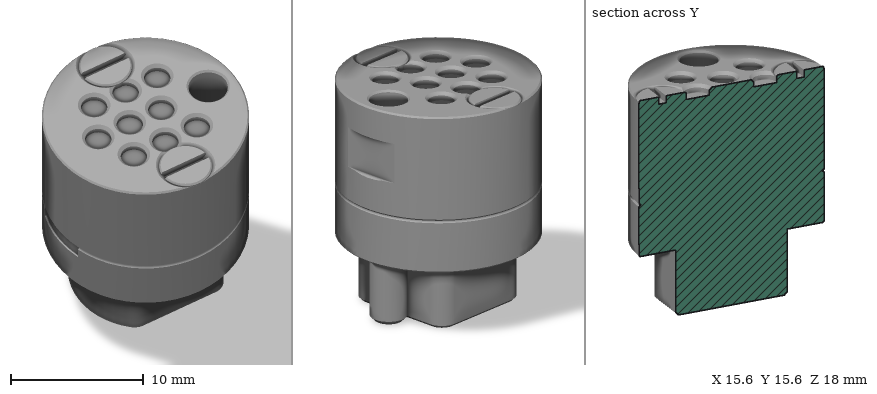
import cadquery as cq
import math

total_height = 18.03
lower_body_bottom = 5.32
joint_level = 9.54

body_diameter = 15.6
body_radius = body_diameter / 2
top_edge_chamfer = 0.13
joint_chamfer = 0.15
groove_radius = body_radius - joint_chamfer
bottom_edge_chamfer = 0.13

notch_width = 4.78
notch_bottom = 8.53

window_bottom = 12.35
window_top = 15.56
window_floor_y = 7.43
window_lip_chamfer = 0.13

stem_half_width = 4.69
stem_front_radius = 5.86
stem_front_blend = 1.35
stem_rear_y = 4.58
stem_rear_fillet = 1.26
stem_chamfer = 0.25
stem_overlap = 0.18
sleeve_radius = 1.45
sleeve_chamfer = 0.36

bore_y = 5.52
bore_radius = 1.48
bore_chamfer = 0.15
bore_bottom = 6.13
middle_step_radius = 1.26
middle_step_bottom = 3.6
pilot_radius = 1.14
pilot_bottom = 1.8
outlet_radius = 0.45
drill_tip_angle = 118

contact_radius = 1.0
contact_chamfer = 0.23
contact_depth = 0.61
column_spacing = 2.87
contact_pitch = 2.78

screw_x = 5.79
countersink_radius = 2.24
screw_head_radius = 2.0
screw_head_chamfer = 0.13
slot_width = 0.55
slot_depth = 0.58


def revolve_profile(points, x=0, y=0):
    """Revolve (radius, z) points about the vertical axis through (x, y)."""
    profile = cq.Workplane("XZ").polyline(points).close()
    return profile.revolve(360, (0, 0, 0), (0, 1, 0)).translate((x, y, 0))


def make_bodies():
    """Lower and upper bodies, separated by the V groove of their chamfered edges."""
    return revolve_profile([
        (0, lower_body_bottom),
        (body_radius - bottom_edge_chamfer, lower_body_bottom),
        (body_radius, lower_body_bottom + bottom_edge_chamfer),
        (body_radius, joint_level - joint_chamfer),
        (groove_radius, joint_level),
        (body_radius, joint_level + joint_chamfer),
        (body_radius, total_height - top_edge_chamfer),
        (body_radius - top_edge_chamfer, total_height),
        (0, total_height),
    ])


def make_stem():
    """Stem with flat sides, a round front and rounded rear corners, plus the rear sleeve."""
    blend_x = stem_half_width - stem_front_blend
    centre_distance = stem_front_radius - stem_front_blend
    blend_y = -math.sqrt(centre_distance**2 - blend_x**2)
    reach = stem_front_radius / centre_distance
    tangent_x = blend_x * reach
    tangent_y = blend_y * reach
    half_angle = math.atan2(blend_y, blend_x) / 2
    blend_mid_x = blend_x + stem_front_blend * math.cos(half_angle)
    blend_mid_y = blend_y + stem_front_blend * math.sin(half_angle)

    outline = (
        cq.Workplane("XY")
        .moveTo(-stem_half_width, stem_rear_y)
        .lineTo(stem_half_width, stem_rear_y)
        .lineTo(stem_half_width, blend_y)
        .threePointArc((blend_mid_x, blend_mid_y), (tangent_x, tangent_y))
        .threePointArc((0, -stem_front_radius), (-tangent_x, tangent_y))
        .threePointArc((-blend_mid_x, blend_mid_y), (-stem_half_width, blend_y))
        .close()
    )
    stem_height = lower_body_bottom + stem_overlap
    stem = outline.extrude(stem_height)
    stem = stem.edges("|Z and >Y").fillet(stem_rear_fillet)
    stem = stem.faces("<Z").chamfer(stem_chamfer)
    sleeve = cq.Workplane("XY").center(0, bore_y).circle(sleeve_radius).extrude(stem_height)
    return stem.union(sleeve.faces("<Z").chamfer(sleeve_chamfer))


def make_notch():
    """Cutter that sinks a strip of the lower body's front down to the groove radius."""
    height = joint_level - notch_bottom
    block = cq.Workplane("XY").box(notch_width, 2 * body_radius, height, (True, False, False))
    block = block.translate((0, -2 * body_radius, notch_bottom))
    core = cq.Workplane("XY").circle(groove_radius).extrude(total_height)
    return block.cut(core)


def make_window():
    """Cutter for the flat rear window, with its lower lip bevelled outward."""
    lip_y = body_radius - window_lip_chamfer
    outer_y = body_radius + window_lip_chamfer
    profile = cq.Workplane("YZ").polyline([
        (window_floor_y, window_bottom),
        (lip_y, window_bottom),
        (outer_y, window_bottom - 2 * window_lip_chamfer),
        (outer_y, window_top),
        (window_floor_y, window_top),
    ]).close()
    return profile.extrude(body_radius, both=True)


def make_stepped_hole():
    """Cutter for the chamfered bore, the narrower steps, the drill-point cone and the outlet."""
    tip_depth = (pilot_radius - outlet_radius) / math.tan(math.radians(drill_tip_angle / 2))
    return revolve_profile([
        (0, 0),
        (outlet_radius, 0),
        (outlet_radius, pilot_bottom - tip_depth),
        (pilot_radius, pilot_bottom),
        (pilot_radius, middle_step_bottom),
        (middle_step_radius, middle_step_bottom),
        (middle_step_radius, bore_bottom),
        (bore_radius, bore_bottom + bore_radius - middle_step_radius),
        (bore_radius, total_height - bore_chamfer),
        (bore_radius + bore_chamfer, total_height),
        (0, total_height),
    ], y=bore_y)


def make_contact_hole(x, y):
    """Cutter for one chamfered blind contact hole."""
    floor = total_height - contact_depth
    return revolve_profile([
        (0, floor),
        (contact_radius, floor),
        (contact_radius, total_height - contact_chamfer),
        (contact_radius + contact_chamfer, total_height),
        (0, total_height),
    ], x, y)


def make_screw_head(x):
    """Screw head, filled back in after the contact holes beside it are cut."""
    bottom = total_height - countersink_radius
    return revolve_profile([
        (0, bottom),
        (screw_head_radius, bottom),
        (screw_head_radius, total_height - screw_head_chamfer),
        (screw_head_radius - screw_head_chamfer, total_height),
        (0, total_height),
    ], x)


def make_countersink(x):
    """Cone of the 45 degree countersink that seats one screw."""
    return revolve_profile([
        (0, total_height - countersink_radius),
        (countersink_radius, total_height),
        (0, total_height),
    ], x)


def make_slot(x):
    """Screwdriver slot with its ends following the countersink cone."""
    block = cq.Workplane("XY").box(slot_width, 2 * countersink_radius, slot_depth, (True, True, False))
    return block.translate((x, 0, total_height - slot_depth)).intersect(make_countersink(x))


result = make_bodies().union(make_stem())
result = result.cut(make_notch()).cut(make_window()).cut(make_stepped_hole())

for column in (-1, 0, 1):
    column_shift = -contact_pitch / 2 if column == 0 else 0
    for row in (-1, 0, 1):
        contact_y = row * contact_pitch + column_shift
        result = result.cut(make_contact_hole(column * column_spacing, contact_y))

for side in (-1, 1):
    head_x = side * screw_x
    result = result.cut(make_countersink(head_x))
    result = result.union(make_screw_head(head_x)).cut(make_slot(head_x))